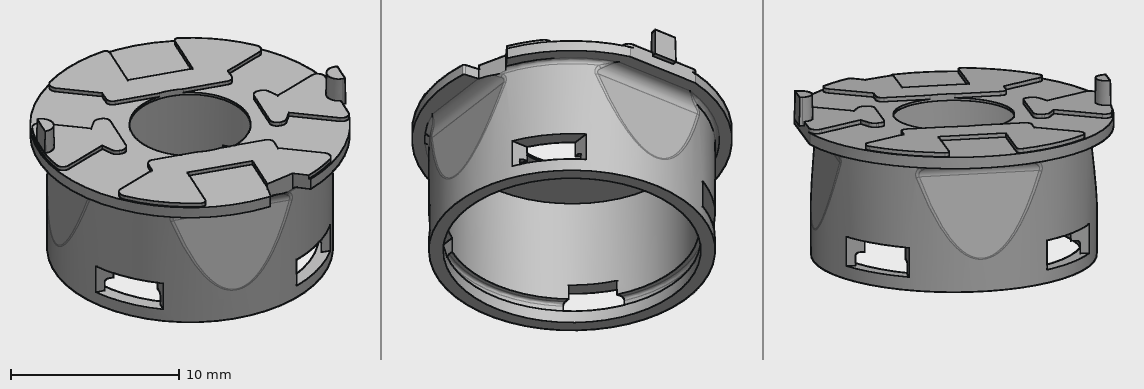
import cadquery as cq
import math

flange_bottom = 7.9
flange_top = 8.6
pad_height = 0.25
pad_top = flange_top + pad_height
overall_height = 10.35
ceiling_height = 8.45

flange_radius = 9.5
body_radius = 8.5
bore_radius = 7.56
groove_radius = 8.02
lip_radius = 7.65
hole_radius = 3.6
pad_outer_radius = 9.4

flange_fillet = 0.25

flange_flat_y = 9.2

flat_start_z = 2.04
flat_end_z = 7.05
flat_inset = 0.86
flat_edge_fillet = 0.4

window_bottom = 0.82
window_top = 2.62
window_inner_x = 4.27
window_inner_y = 4.18

groove_bottom = window_bottom
groove_top = 1.62
groove_fillet = 0.2

channel_half_width = 2.04
channel_angle = math.radians(60)
side_pad_inner_x = 3.52
side_pad_half_width = 3.94
side_pad_slot_x = 5.53
side_pad_inner_fillet = 0.4
side_pad_slot_fillet = 0.25
wing_tip_fillet = 0.5
end_pad_neck_x = 1.02
end_pad_inner_y = 4.5
end_pad_bar_x = 1.89
end_pad_bar_fillet = 0.45
end_pad_outer_fillet = 0.45

pin_radius = 0.76
pin_inner_y = 8.55
pin_draft = 1
front_pin_flat_y = 9.36
back_pin_flat_y = 9.5

notch_root_radius = 8.55
notch_root_start = math.radians(13.7)
notch_root_end = math.radians(26.8)
notch_rim_start = math.radians(11.6)
notch_rim_end = math.radians(30.2)
notch_corner_fillet = 0.15

overrun = 1.0

margin = 0.1


def polar(radius, angle):
    return (radius * math.cos(angle), radius * math.sin(angle))


def disc(radius, bottom, top):
    return cq.Workplane("XY").workplane(offset=bottom).circle(radius).extrude(top - bottom)


def box(x_min, x_max, y_min, y_max, z_min, z_max):
    size = (x_max - x_min, y_max - y_min, z_max - z_min)
    return cq.Workplane("XY").box(*size, centered=False).translate((x_min, y_min, z_min))


def make_shell_quarter():
    """Quarter of the solid body and flange, centered on +X and joined by a small fillet."""
    body = disc(body_radius, 0, flange_bottom)
    shell = body.union(disc(flange_radius, flange_bottom, flange_top))
    body_wall = cq.selectors.NearestToPointSelector((0, body_radius, flange_bottom / 2))
    shell = shell.faces(body_wall).edges(">Z").fillet(flange_fillet)
    quadrant = box(0, flange_radius, 0, flange_radius, 0, flange_top)
    return shell.intersect(quadrant).rotate((0, 0, 0), (0, 0, 1), -45)


def make_flat_cutter():
    """Prism outside the sloping flat on +X, with a concave blend up to the flange."""
    slope = math.atan2(flat_inset, flat_end_z - flat_start_z)
    blend_radius = (flange_bottom - flat_end_z) / (1 + math.sin(slope))
    flat_end_x = body_radius - flat_inset
    center_x = flat_end_x + blend_radius * math.cos(slope)
    center_z = flange_bottom - blend_radius
    middle_angle = (math.pi + slope + math.pi / 2) / 2
    middle_x, middle_z = polar(blend_radius, middle_angle)
    outside_x = flange_radius + overrun
    return (
        cq.Workplane("XZ")
        .moveTo(body_radius, flat_start_z)
        .lineTo(flat_end_x, flat_end_z)
        .threePointArc((center_x + middle_x, center_z + middle_z), (center_x, flange_bottom))
        .lineTo(outside_x, flange_bottom)
        .lineTo(outside_x, flat_start_z)
        .close()
        .extrude(flange_radius, both=True)
    )


def make_shell():
    """Solid shell of four equal quarters, each with a flat whose curved edges are rounded."""
    quarter = make_shell_quarter().cut(make_flat_cutter())
    quarter = quarter.edges("%ELLIPSE or %BSPLINE").fillet(flat_edge_fillet)
    shell = quarter
    for step in range(1, 4):
        shell = shell.union(quarter.rotate((0, 0, 0), (0, 0, 1), 90 * step))
    return shell


def make_cavity():
    """Bore with the rim lip and the filleted groove above it, and the hole in the top."""
    groove = disc(groove_radius, groove_bottom, groove_top).faces(">Z").edges().fillet(groove_fillet)
    lip = disc(lip_radius, 0, groove_top)
    bore = disc(bore_radius, 0, ceiling_height)
    hole = disc(hole_radius, 0, overall_height)
    return groove.union(lip).union(bore).union(hole)


def make_window(x_side, y_side):
    """Square corner block that leaves a rectangular opening in the wall."""
    window = box(window_inner_x, body_radius, window_inner_y, body_radius, window_bottom, window_top)
    if x_side < 0:
        window = window.mirror("YZ")
    if y_side < 0:
        window = window.mirror("XZ")
    return window


def make_side_pad():
    """C-shaped pad on +X with a pointed wing at each end."""
    frame = box(
        side_pad_inner_x, flange_radius, -side_pad_half_width, side_pad_half_width, flange_top, pad_top
    ).edges("|Z and <X").fillet(side_pad_inner_fillet)
    wing_slope = math.tan(channel_angle)
    channel_offset = channel_half_width / math.cos(channel_angle)
    wing_root_x = channel_offset / wing_slope
    wing_end_y = flange_radius * wing_slope - channel_offset
    trim = disc(pad_outer_radius, flange_top, pad_top)
    wings = (
        cq.Workplane("XY")
        .workplane(offset=flange_top)
        .polyline([(wing_root_x, 0), (flange_radius, wing_end_y), (flange_radius, -wing_end_y)])
        .close()
        .extrude(pad_height)
        .intersect(trim)
        .edges("|Z and (>Y or <Y)")
        .fillet(wing_tip_fillet)
    )
    wings = wings.cut(
        box(0, flange_radius, -side_pad_half_width, side_pad_half_width, flange_top, pad_top)
    )
    slot = box(
        side_pad_slot_x, flange_radius, -channel_half_width, channel_half_width, flange_top, pad_top
    )
    frame = frame.intersect(trim).cut(slot)
    slot_mouth = cq.selectors.BoxSelector(
        (side_pad_slot_x + overrun, -channel_half_width - margin, flange_top),
        (flange_radius, channel_half_width + margin, pad_top),
    )
    frame = frame.edges("|Z").edges(slot_mouth).fillet(side_pad_slot_fillet)
    return frame.union(wings)


def make_end_pad(outer_trim):
    """Anchor-shaped pad on +Y, bounded outside by the given trim shape."""
    neck_y = end_pad_neck_x * math.tan(channel_angle) + channel_half_width / math.cos(channel_angle)
    bar_y = neck_y - (end_pad_bar_x - end_pad_neck_x) / math.tan(channel_angle)
    flare_x = end_pad_neck_x + (flange_radius - neck_y) / math.tan(channel_angle)
    right_side = [
        (end_pad_bar_x, end_pad_inner_y),
        (end_pad_bar_x, bar_y),
        (end_pad_neck_x, neck_y),
        (flare_x, flange_radius),
    ]
    left_side = [(-x, y) for x, y in reversed(right_side)]
    pad = (
        cq.Workplane("XY")
        .workplane(offset=flange_top)
        .polyline(right_side + left_side)
        .close()
        .extrude(pad_height)
        .intersect(outer_trim)
    )
    bar_zone = cq.selectors.BoxSelector(
        (-flange_radius, 0, flange_top), (flange_radius, neck_y - margin, pad_top)
    )
    pad = pad.edges("|Z").edges(bar_zone).fillet(end_pad_bar_fillet)
    return pad.edges("|Z and (<X or >X)").fillet(end_pad_outer_fillet)


def make_pin(flat_y):
    """Half-round pin on +Y with its flat facing outward."""
    center_y = pin_inner_y + pin_radius
    return (
        cq.Workplane("XY")
        .workplane(offset=flange_top)
        .moveTo(-pin_radius, flat_y)
        .lineTo(-pin_radius, center_y)
        .threePointArc((0, pin_inner_y), (pin_radius, center_y))
        .lineTo(pin_radius, flat_y)
        .close()
        .extrude(overall_height - flange_top, taper=pin_draft)
    )


def make_notch():
    """Cutter for the flange notch, with a straight root, down through the flange fillet."""
    reach = (flange_radius - notch_root_radius + overrun) / (flange_radius - notch_root_radius)
    notch_bottom = flange_bottom - flange_fillet
    start_root = polar(notch_root_radius, notch_root_start)
    end_root = polar(notch_root_radius, notch_root_end)
    start_rim = polar(flange_radius, notch_rim_start)
    end_rim = polar(flange_radius, notch_rim_end)

    def beyond(root, rim):
        return tuple(r + reach * (m - r) for r, m in zip(root, rim))

    return (
        cq.Workplane("XY")
        .workplane(offset=notch_bottom)
        .moveTo(*start_root)
        .lineTo(*end_root)
        .lineTo(*beyond(end_root, end_rim))
        .lineTo(*beyond(start_root, start_rim))
        .close()
        .extrude(overall_height - notch_bottom)
    )


flat_side = box(
    -flange_radius, flange_radius, -flange_radius, flange_flat_y, 0, overall_height
)
pad_disc = disc(pad_outer_radius, flange_top, pad_top)

part = make_shell()
part = part.intersect(flat_side)
part = part.cut(make_cavity())
for x_side in (-1, 1):
    for y_side in (-1, 1):
        part = part.cut(make_window(x_side, y_side))

side_pad = make_side_pad()
part = part.union(side_pad).union(side_pad.mirror("YZ"))
part = part.union(make_end_pad(flat_side))
part = part.union(make_end_pad(pad_disc).mirror("XZ"))
part = part.cut(disc(hole_radius, ceiling_height, overall_height))
part = part.cut(make_notch())
notch_corner = cq.selectors.NearestToPointSelector(
    (*polar(flange_radius, notch_rim_start), (flange_bottom + flange_top) / 2)
)
part = part.edges("|Z").edges(notch_corner).fillet(notch_corner_fillet)
part = part.union(make_pin(back_pin_flat_y))
part = part.union(make_pin(front_pin_flat_y).mirror("XZ"))

result = part